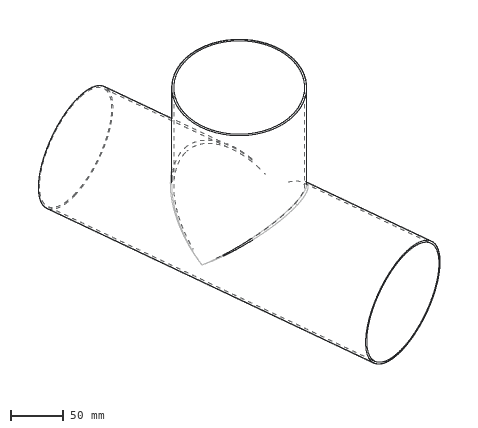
import cadquery as cq

outer_diameter = 129.0
wall_thickness = 2.0
bore_diameter = outer_diameter - 2 * wall_thickness
run_length = 375.0
branch_height = run_length / 2
weld_radius = 2.0


def tee_cylinders(diameter):
    """Solid run and branch cylinders of one diameter, joined on the crossing axes."""
    radius = diameter / 2
    run = cq.Workplane("YZ").circle(radius).extrude(run_length / 2, both=True)
    branch = cq.Workplane("XY").circle(radius).extrude(branch_height)
    return run.union(branch)


def fillet_seam(tee):
    """Round the elliptical seam edges where the branch meets the run."""
    return tee.edges("%ELLIPSE").fillet(weld_radius)


outer_body = fillet_seam(tee_cylinders(outer_diameter))
result = outer_body.cut(tee_cylinders(bore_diameter))